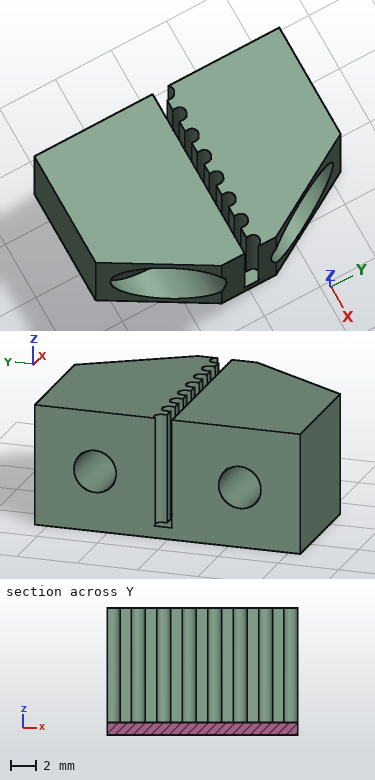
import cadquery as cq

LENGTH = 15.0
WIDTH = 22.0
HEIGHT = 10.0
NOSE_WIDTH = 4.9
SHOULDER_X = 10.0

FLOOR_THICKNESS = 1.0
SLOT_WIDTH = 0.75

TOOTH_PITCH = 2.0
TOOTH_COUNT = 8
FIRST_TOOTH_X = 0.46
TOOTH_RADIUS = 0.555
TOOTH_TIP_Y = 1.25

HOLE_SPACING = 12.0
HOLE_DIAMETER = 3.5
COUNTERBORE_DIAMETER = 8.0
COUNTERBORE_FLOOR_X = SHOULDER_X


def make_block():
    """Block with both +X corners cut at a slant."""
    outline = [
        (0, -WIDTH / 2),
        (SHOULDER_X, -WIDTH / 2),
        (LENGTH, -NOSE_WIDTH / 2),
        (LENGTH, NOSE_WIDTH / 2),
        (SHOULDER_X, WIDTH / 2),
        (0, WIDTH / 2),
    ]
    return cq.Workplane("XY").polyline(outline).close().extrude(HEIGHT)


def make_slot():
    """Cutter for the straight belt slot."""
    return (
        cq.Workplane("XY", origin=(0, 0, FLOOR_THICKNESS))
        .center(LENGTH / 2, 0)
        .rect(LENGTH, SLOT_WIDTH)
        .extrude(HEIGHT - FLOOR_THICKNESS)
    )


def make_tooth_groove(x):
    """Cutter for one round-ended tooth groove, starting at the slot's centre plane."""
    arc_center_y = TOOTH_TIP_Y - TOOTH_RADIUS
    return (
        cq.Workplane("XY", origin=(x, 0, FLOOR_THICKNESS))
        .moveTo(-TOOTH_RADIUS, 0)
        .lineTo(TOOTH_RADIUS, 0)
        .lineTo(TOOTH_RADIUS, arc_center_y)
        .threePointArc((0, TOOTH_TIP_Y), (-TOOTH_RADIUS, arc_center_y))
        .close()
        .extrude(HEIGHT - FLOOR_THICKNESS)
    )


def cut_screw_holes(body, diameter, start_x):
    """Cut both round holes from start_x out through the +X side."""
    cutters = (
        cq.Workplane("YZ", origin=(start_x, 0, HEIGHT / 2))
        .pushPoints([(-HOLE_SPACING / 2, 0), (HOLE_SPACING / 2, 0)])
        .circle(diameter / 2)
        .extrude(LENGTH - start_x)
    )
    return body.cut(cutters)


result = make_block().cut(make_slot())
for tooth in range(TOOTH_COUNT):
    result = result.cut(make_tooth_groove(FIRST_TOOTH_X + tooth * TOOTH_PITCH))
result = cut_screw_holes(result, HOLE_DIAMETER, 0)
result = cut_screw_holes(result, COUNTERBORE_DIAMETER, COUNTERBORE_FLOOR_X)